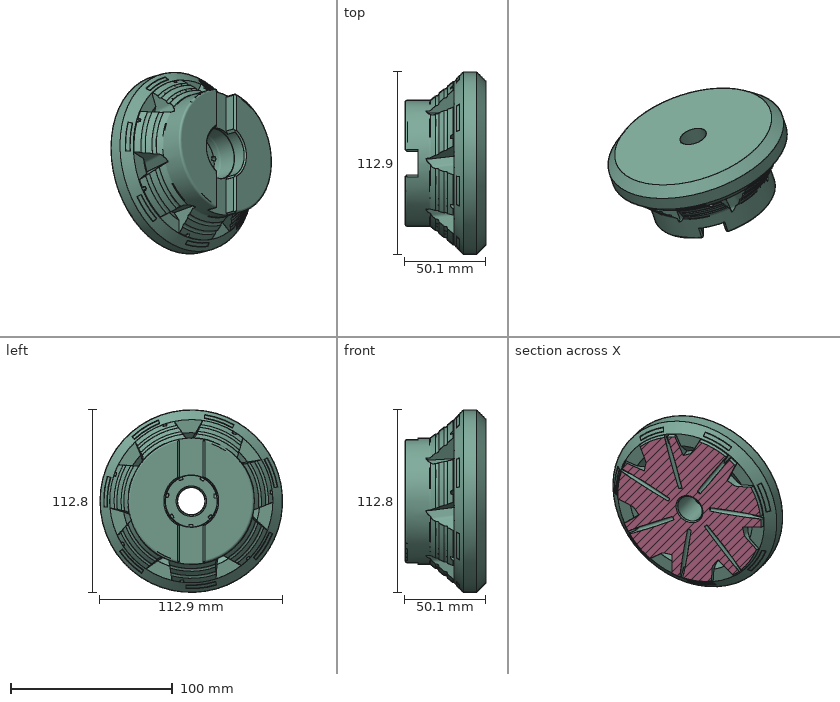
import cadquery as cq
import math

TEETH = 7
PITCH_ANGLE = 360 / TEETH

BODY_LENGTH = 50.09
HUB_RADIUS = 39.0
HUB_EDGE_FILLET = 1.4
HUB_END = 15.5
HUB_TO_CONE_FILLET = 1.0
CONE_END = 29.6
CONE_END_RADIUS = 50.4
RIM_START = 30.3
RIM_RADIUS = 56.425
RIM_FRONT_END = 35.9
RIM_BACK_CHAMFER = 6.0

UNDERCUT_RADIUS = 42.3
UNDERCUT_TIP_RADIUS = 30.0
UNDERCUT_ANGLE = 40.0

GROOVE_STARTS = (18.8, 24.15)
GROOVE_WIDTH = 2.1

BORE_RADIUS = 16.0
BORE_DEPTH = 28.0
BORE_RELIEF_RADIUS = 16.25
BORE_RELIEF_START = 10.0
BORE_RELIEF_END = 21.9
BORE_RELIEF_RUNOUT = 1.4
SCREW_HOLE_RADIUS = 8.4
EDGE_CHAMFER = 1.0
SLOT_WIDTH = 14.4
SLOT_DEPTH = 7.8
SLOT_CHAMFER = 1.2

POCKET_TILT = 26.0
POCKET_AXIAL_ANGLE = 7.5
POCKET_START = 12.1
POCKET_END = 42.0
POCKET_FLOOR_HEIGHT = 34.8
POCKET_SEAT_OFFSET = 12.1
POCKET_FLOOR_WIDTH = 6.0
POCKET_OPEN_HEIGHT = 25.0
POCKET_FLANK_ANGLE = 35.0
POCKET_FILLET = 3.5

COOLANT_DIAMETER = 2.6
COOLANT_INLET_X = BORE_DEPTH - 0.5
COOLANT_INLET_RADIUS = 14.5
COOLANT_INLET_ANGLE = 26.0
COOLANT_OUTLET_X = 29.4
COOLANT_OUTLET_RADIUS = 50.2
COOLANT_OUTLET_ANGLE = 32.3
COOLANT_OVERRUN = 3.0

PAD_START = 31.6
PAD_END = 33.5
PAD_HEIGHT = 0.3
PAD_FIRST_ANGLE = 8.9
PAD_SPAN = 20.4

cone_slope = (CONE_END_RADIUS - HUB_RADIUS) / (CONE_END - HUB_END)
rim_slope = (RIM_RADIUS - CONE_END_RADIUS) / (RIM_FRONT_END - RIM_START)
undercut_tip_x = RIM_START + (UNDERCUT_RADIUS - UNDERCUT_TIP_RADIUS) * math.tan(math.radians(UNDERCUT_ANGLE))


def cone_radius(x):
    return HUB_RADIUS + cone_slope * (x - HUB_END)


def rim_cone_radius(x):
    return CONE_END_RADIUS + rim_slope * (x - RIM_START)


def revolve(profile, angle=360):
    """Turn an (x, radius) profile about the X axis."""
    return profile.close().revolve(angle, (0, 0, 0), (1, 0, 0))


def around(shape, index):
    """Copy a feature of the first tooth to another tooth."""
    return shape.rotate((0, 0, 0), (1, 0, 0), index * PITCH_ANGLE)


def front_body():
    """Hub and grooved cone, running on to the tip of the undercut cone."""
    half = math.atan(cone_slope) / 2
    tangent = HUB_TO_CONE_FILLET * math.tan(half)
    fillet_end_x = HUB_END + tangent * math.cos(2 * half)
    fillet_mid_x = HUB_END - tangent + HUB_TO_CONE_FILLET * math.sin(half)
    fillet_mid_radius = HUB_RADIUS + HUB_TO_CONE_FILLET * (1 - math.cos(half))
    hub_edge_sag = HUB_EDGE_FILLET * (1 - math.sqrt(0.5))
    hub_edge_mid = (hub_edge_sag, HUB_RADIUS - hub_edge_sag)
    profile = (
        cq.Workplane("XY")
        .moveTo(0, 0)
        .lineTo(0, HUB_RADIUS - HUB_EDGE_FILLET)
        .threePointArc(hub_edge_mid, (HUB_EDGE_FILLET, HUB_RADIUS))
        .lineTo(HUB_END - tangent, HUB_RADIUS)
        .threePointArc((fillet_mid_x, fillet_mid_radius), (fillet_end_x, cone_radius(fillet_end_x)))
    )
    for start in GROOVE_STARTS:
        end = start + GROOVE_WIDTH
        bottom = cone_radius(start)
        depth = cone_radius(end) - bottom
        diagonal = depth * math.sqrt(0.5)
        arc_mid = (end - depth + diagonal, bottom + depth - diagonal)
        profile = (
            profile.lineTo(start, bottom)
            .lineTo(end - depth, bottom)
            .threePointArc(arc_mid, (end, bottom + depth))
        )
    profile = (
        profile.lineTo(CONE_END, CONE_END_RADIUS)
        .lineTo(RIM_START, CONE_END_RADIUS)
        .lineTo(undercut_tip_x, UNDERCUT_TIP_RADIUS)
        .lineTo(undercut_tip_x, 0)
    )
    return revolve(profile)


def rim():
    """Rim and back of the body, with the undercut cone on its front."""
    profile = (
        cq.Workplane("XY")
        .moveTo(undercut_tip_x, 0)
        .lineTo(undercut_tip_x, UNDERCUT_TIP_RADIUS)
        .lineTo(RIM_START, UNDERCUT_RADIUS)
        .lineTo(RIM_START, CONE_END_RADIUS)
        .lineTo(RIM_FRONT_END, RIM_RADIUS)
        .lineTo(BODY_LENGTH - RIM_BACK_CHAMFER, RIM_RADIUS)
        .lineTo(BODY_LENGTH, RIM_RADIUS - RIM_BACK_CHAMFER)
        .lineTo(BODY_LENGTH, 0)
    )
    return revolve(profile)


def pocket():
    """Chip pocket with a flat floor, an upright insert seat wall and a sloping flank."""
    tilt = math.radians(POCKET_TILT)
    axial = math.radians(POCKET_AXIAL_ANGLE)
    up = cq.Vector(0, math.sin(tilt), math.cos(tilt))
    across = cq.Vector(0, -math.cos(tilt), math.sin(tilt))
    along = cq.Vector(math.cos(axial), 0, 0) - across * math.sin(axial)
    seat_corner = cq.Vector(RIM_START, 0, 0) + up * POCKET_FLOOR_HEIGHT + across * POCKET_SEAT_OFFSET
    origin = seat_corner - along * ((RIM_START - POCKET_START) / math.cos(axial))
    length = (POCKET_END - POCKET_START) / math.cos(axial)
    flank_run = POCKET_OPEN_HEIGHT / math.tan(math.radians(POCKET_FLANK_ANGLE))
    plane = cq.Plane(origin=origin, xDir=up, normal=along)
    outline = [
        (0, 0),
        (POCKET_OPEN_HEIGHT, 0),
        (POCKET_OPEN_HEIGHT, POCKET_FLOOR_WIDTH + flank_run),
        (0, POCKET_FLOOR_WIDTH),
    ]
    body = cq.Workplane(plane).polyline(outline).close().extrude(length)
    flank_foot = plane.toWorldCoords((0, POCKET_FLOOR_WIDTH, length / 2))
    body = body.edges(cq.NearestToPointSelector(flank_foot.toTuple())).fillet(POCKET_FILLET)
    runout_foot = plane.toWorldCoords((0, POCKET_FLOOR_WIDTH / 3, 0))
    return body.edges(cq.NearestToPointSelector(runout_foot.toTuple())).fillet(POCKET_FILLET)


def polar_point(x, radius, angle):
    """Point at an angle past the first tooth, measured from +Z towards -Y."""
    turn = math.radians(angle)
    return cq.Vector(x, -radius * math.sin(turn), radius * math.cos(turn))


def coolant_hole():
    """Straight hole from the foot of the bore to the outer end of the cone."""
    inlet = polar_point(COOLANT_INLET_X, COOLANT_INLET_RADIUS, COOLANT_INLET_ANGLE)
    outlet = polar_point(COOLANT_OUTLET_X, COOLANT_OUTLET_RADIUS, COOLANT_OUTLET_ANGLE)
    path = outlet - inlet
    length = path.Length + COOLANT_OVERRUN
    return cq.Workplane(cq.Solid.makeCylinder(COOLANT_DIAMETER / 2, length, inlet, path))


def pad():
    """Raised pad that follows the front cone of the rim."""
    profile = (
        cq.Workplane("XZ")
        .moveTo(PAD_START, rim_cone_radius(PAD_START) - PAD_HEIGHT)
        .lineTo(PAD_START, rim_cone_radius(PAD_START) + PAD_HEIGHT)
        .lineTo(PAD_END, rim_cone_radius(PAD_END) + PAD_HEIGHT)
        .lineTo(PAD_END, rim_cone_radius(PAD_END) - PAD_HEIGHT)
    )
    return revolve(profile, PAD_SPAN)


def bore():
    """Stepped arbor bore with a shallow relief and chamfered mouths."""
    profile = (
        cq.Workplane("XY")
        .moveTo(0, 0)
        .lineTo(0, BORE_RADIUS + EDGE_CHAMFER)
        .lineTo(EDGE_CHAMFER, BORE_RADIUS)
        .lineTo(BORE_RELIEF_START, BORE_RADIUS)
        .lineTo(BORE_RELIEF_START, BORE_RELIEF_RADIUS)
        .lineTo(BORE_RELIEF_END, BORE_RELIEF_RADIUS)
        .lineTo(BORE_RELIEF_END + BORE_RELIEF_RUNOUT, BORE_RADIUS)
        .lineTo(BORE_DEPTH, BORE_RADIUS)
        .lineTo(BORE_DEPTH, SCREW_HOLE_RADIUS + EDGE_CHAMFER)
        .lineTo(BORE_DEPTH + EDGE_CHAMFER, SCREW_HOLE_RADIUS)
        .lineTo(BODY_LENGTH, SCREW_HOLE_RADIUS)
        .lineTo(BODY_LENGTH, 0)
    )
    return revolve(profile)


def driving_slot():
    """Slot across the hub face along Z, with chamfered edges."""
    half = SLOT_WIDTH / 2
    outline = [
        (0, half + SLOT_CHAMFER),
        (SLOT_CHAMFER, half),
        (SLOT_DEPTH, half),
        (SLOT_DEPTH, -half),
        (SLOT_CHAMFER, -half),
        (0, -half - SLOT_CHAMFER),
    ]
    return cq.Workplane("XY").polyline(outline).close().extrude(HUB_RADIUS * 2, both=True)


def slot_corner_chamfers():
    """Wedges that bevel the slot walls where they break out through the hub and into the bore."""
    half = SLOT_WIDTH / 2
    outer = math.sqrt(HUB_RADIUS**2 - half**2)
    inner = math.sqrt(BORE_RADIUS**2 - half**2)
    outer_drop = outer - math.sqrt(HUB_RADIUS**2 - (half + SLOT_CHAMFER) ** 2)
    inner_drop = inner - math.sqrt(BORE_RADIUS**2 - (half + SLOT_CHAMFER) ** 2)
    outer_foot = (half, outer - SLOT_CHAMFER)
    outer_top = (half + SLOT_CHAMFER, outer - outer_drop)
    inner_foot = (half, inner + SLOT_CHAMFER)
    inner_top = (half + SLOT_CHAMFER, inner - inner_drop)
    wedges = cq.Workplane("YZ")
    for foot, top, apex in (
        (outer_foot, outer_top, (half, outer + SLOT_CHAMFER)),
        (inner_foot, inner_top, (half, inner - SLOT_CHAMFER)),
    ):
        for side in (1, -1):
            for end in (1, -1):
                corners = [(side * y, end * z) for y, z in (foot, top, apex)]
                wedges = wedges.polyline(corners).close()
    return wedges.extrude(SLOT_DEPTH)


body = front_body()
for index in range(TEETH):
    body = body.cut(around(pocket(), index)).cut(around(coolant_hole(), index))
body = body.union(rim())
for index in range(TEETH):
    body = body.union(around(pad().rotate((0, 0, 0), (1, 0, 0), PAD_FIRST_ANGLE), index))
result = body.cut(bore()).cut(driving_slot()).cut(slot_corner_chamfers())